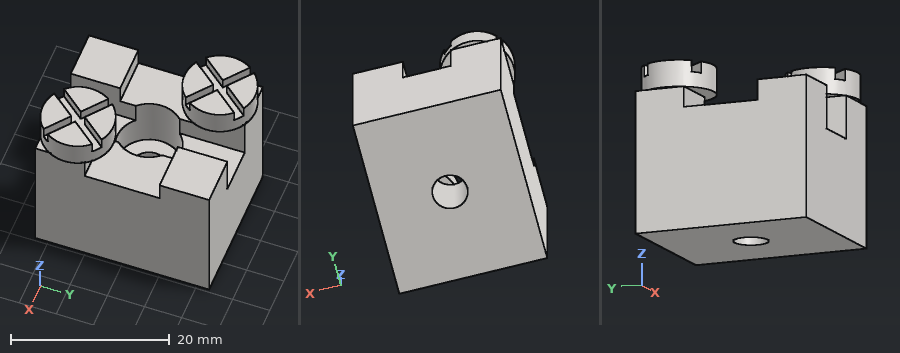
import cadquery as cq

block_width = 19.28
block_length = 23.45
block_height = 18.45

main_channel_width = 6.2
main_channel_depth = 5.6
cross_channel_width = 10.1
cross_channel_depth = 2.65

hole_diameter = 4.48
counterbore_diameter = 8.55
counterbore_depth = 10.0

head_diameter = 9.5
head_height = 3.45
overall_width = 20.5
overall_length = 24.5
head_x = (overall_width - head_diameter) / 2
head_y = (overall_length - head_diameter) / 2
head_centers = [(-head_x, head_y), (head_x, -head_y)]

wide_slot_width = 1.4
narrow_slot_width = 0.98
driver_slot_depth = 1.5
driver_slot_angle = 51


def box_down_from(top, size_x, size_y, depth):
    """Box centred in X and Y that reaches down from the given height."""
    return (
        cq.Workplane("XY")
        .workplane(offset=top)
        .rect(size_x, size_y)
        .extrude(-depth)
    )


def cylinder_down_from(top, diameter, depth):
    """Central vertical cylinder that reaches down from the given height."""
    return cq.Workplane("XY").workplane(offset=top).circle(diameter / 2).extrude(-depth)


def make_block():
    """Block with its two channels and the stepped central hole."""
    block = box_down_from(block_height, block_width, block_length, block_height)
    main_channel = box_down_from(block_height, main_channel_width, block_length, main_channel_depth)
    cross_channel = box_down_from(block_height, block_width, cross_channel_width, cross_channel_depth)
    hole = cylinder_down_from(block_height, hole_diameter, block_height)
    counterbore = cylinder_down_from(block_height, counterbore_diameter, counterbore_depth)
    return block.cut(main_channel).cut(cross_channel).cut(hole).cut(counterbore)


def make_screw_head():
    """Round head at the origin, resting at block height, with crossed driver slots."""
    top = block_height + head_height
    head = cylinder_down_from(top, head_diameter, head_height)
    wide_slot = box_down_from(top, head_diameter, wide_slot_width, driver_slot_depth)
    narrow_slot = box_down_from(top, narrow_slot_width, head_diameter, driver_slot_depth)
    slots = wide_slot.union(narrow_slot).rotate((0, 0, 0), (0, 0, 1), driver_slot_angle)
    return head.cut(slots)


result = make_block()
screw_head = make_screw_head()
for x, y in head_centers:
    result = result.union(screw_head.translate((x, y, 0)))